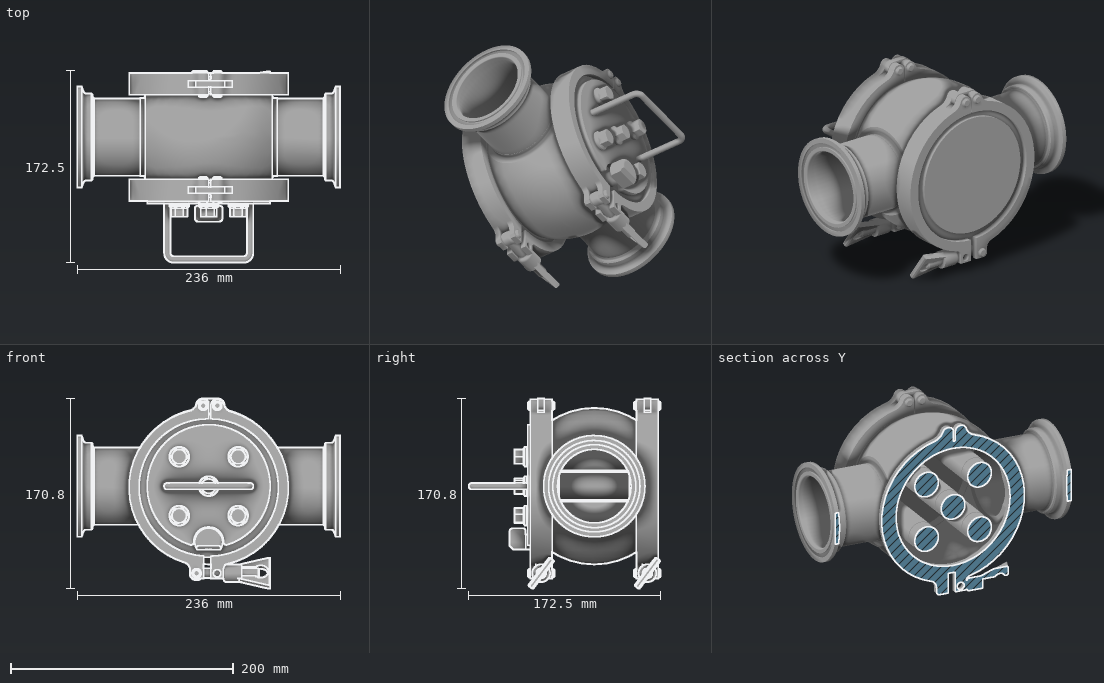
import cadquery as cq
import math

length = 236.0
sphere_radius = 70.3
wall = 2.0
body_half_width = 57.0
neck_fillet = 2.0

pipe_diameter = 69.6
neck_diameter = 70.0
neck_length = 4.5
pipe_bore = 66.0
rim_radius = 45.5
rim_thickness = 4.0
rim_slope_end = 6.4
collar_radius = 39.2
collar_end = 14.0
collar_edge = 1.2
collar_fillet = 2.1
groove_inner_radius = 37.3
groove_outer_radius = 41.0
groove_depth = 1.5
bore_rounding = 1.2

clamp_center = 47.7
clamp_thickness = 19.8
clamp_outer_radius = 70.5
clamp_bore_radius = 61.5
jaw_shift = 1.0
jaw_drop = 1.2
opening_radius = 56.6
cover_joint_radius = 64.0
ferrule_foot_radius = 60.2
plate_radius = 55.2
plate_height = 2.1
cover_slope = 2.1
plate_step = 5.7
ferrule_inset = 1.0
clamp_outer_face = clamp_center + clamp_thickness / 2
clamp_inner_face = clamp_center - clamp_thickness / 2
root = clamp_center + 2.4
plate_face = clamp_outer_face + plate_height
shoulder = plate_face - plate_step

hinge_x = 1.5
hinge_z = 72.2
hinge_pitch = 12.7
knuckle_radius = 6.0
knuckle_fillet = 11.8
link_radius = 6.5
link_thickness = 6.0
link_slot_width = 39.2
jaw_gap_top_left = 0.2
jaw_gap_top_right = 2.0
pin_head_diameter = 8.3
pin_chamfer = 1.5
pin_length = 24.0

closure_z = -78.0
closure_pin_x = -10.9
ear_hole_x = 7.5
ear_bottom = -83.0
ear_left = -16.8
ear_right = 13.2
ear_chamfer = 2.4
ear_left_fillet = 7.0
ear_right_fillet = 4.7
jaw_gap_left = -4.5
jaw_gap_right = 2.0
ear_slot_width = 9.7
ear_slot_length = 47.2
ear_hole_diameter = 6.5
eye_diameter = 12.7
eye_rounding = 2.4
bolt_diameter = 9.0
bolt_end = 45.5
bolt_chamfer = 1.2

nut_diameter = 16.0
nut_end = 29.7
nut_rounding = 2.8
wing_start = 21.2
wing_end = 55.5
wing_start_width = 12.3
wing_end_width = 31.9
wing_thickness = 5.5
wing_tilt = 37.0
wing_hole_diameter = 13.7
wing_hole_x = 46.7
wing_slot_width = 10.0
wing_end_chamfer = 1.2

rod_pitch = 52.9
rod_diameter = 25.0
rod_end_diameter = 24.0
rod_half_length = 31.5
rod_tip = 35.5
hex_flats = 13.0
hex_corners = hex_flats / math.cos(math.pi / 6)
hex_chamfer = 0.6
seal_diameter = 17.0
seal_thickness = 1.0
washer_diameter = 18.0
washer_thickness = 1.7
washer_taper = 1.7
bolt_head_height = 12.0

handle_diameter = 6.0
handle_span = 74.3
handle_bend = 6.0
handle_reach = 112.8

knob_diameter = 25.0
knob_z = -50.0
knob_flat_z = -56.9
knob_back = 61.5
knob_front = 76.2
knob_back_rounding = 2.5
knob_front_rounding = 3.5
knob_chamfer = 3.5
knob_neck_diameter = 13.7
notch_diameter = 27.0
notch_rounding = 2.4


def cylinder_y(x, z, diameter, y_start, y_end):
    """Cylinder along Y between two Y positions."""
    disc = cq.Workplane("XZ", origin=(x, y_start, z)).circle(diameter / 2)
    return disc.extrude(y_start - y_end)


def cylinder_x(y, z, diameter, x_start, x_end):
    """Cylinder along X between two X positions."""
    disc = cq.Workplane("YZ", origin=(x_start, y, z)).circle(diameter / 2)
    return disc.extrude(x_end - x_start)


def block(x_range, y_range, z_range):
    """Box given by its limits along each axis."""
    corner = (x_range[0], y_range[0], z_range[0])
    sizes = [high - low for low, high in (x_range, y_range, z_range)]
    return cq.Workplane("XY").box(*sizes, centered=False).translate(corner)


def turned_about_y(points):
    """Solid of revolution about Y from (radius, y) points."""
    return cq.Workplane("XY").polyline(points).close().revolve(360, (0, 0, 0), (0, 1, 0))


def both_ends(shape, plane):
    """Shape together with its mirror image."""
    return shape.union(shape.mirror(plane))


def make_pipe():
    """Solid pipe stub with its end ferrule on the -X side."""
    end = -length / 2
    pipe_radius = pipe_diameter / 2
    neck_start = length / 2 - body_half_width - neck_length
    outline = [
        (0, 0),
        (0, rim_radius),
        (rim_thickness, rim_radius),
        (rim_slope_end, collar_radius),
        (collar_end - collar_edge, collar_radius),
        (collar_end, collar_radius - collar_edge),
        (collar_end, pipe_radius + collar_edge),
        (collar_end + collar_edge, pipe_radius),
        (neck_start, pipe_radius),
        (neck_start, neck_diameter / 2),
        (length / 2, neck_diameter / 2),
        (length / 2, 0),
    ]
    points = [(end + x, radius) for x, radius in outline]
    pipe = cq.Workplane("XY").polyline(points).close().revolve(360, (0, 0, 0), (1, 0, 0))
    slope_foot = cq.selectors.NearestToPointSelector((end + rim_slope_end, 0, 0))
    pipe = pipe.edges("%CIRCLE").edges(slope_foot).fillet(collar_fillet)
    groove = cylinder_x(0, 0, 2 * groove_outer_radius, end, end + groove_depth)
    groove = groove.cut(cylinder_x(0, 0, 2 * groove_inner_radius, end, end + groove_depth))
    return pipe.cut(groove)


def make_body():
    """Hollow sphere with pipe stubs along X and ferruled openings along Y."""
    shell = cq.Workplane("XY").sphere(sphere_radius)
    flats = block((-body_half_width, body_half_width), (-clamp_center, clamp_center),
                  (-sphere_radius, sphere_radius))
    body = shell.intersect(flats).union(both_ends(make_pipe(), "YZ"))
    for side in (-1, 1):
        x = side * body_half_width
        flat = body.faces(cq.selectors.NearestToPointSelector((x, 0, neck_diameter / 2 + wall)))
        body = flat.edges(cq.selectors.RadiusNthSelector(0)).fillet(neck_fillet)

    foot = clamp_inner_face + ferrule_inset
    ferrule = turned_about_y([
        (opening_radius, -clamp_center),
        (cover_joint_radius, -clamp_center),
        (cover_joint_radius, -foot - cover_slope),
        (ferrule_foot_radius, -foot),
        (opening_radius, -foot),
    ])
    body = body.union(both_ends(ferrule, "XZ"))

    inside = cq.Workplane("XY").sphere(sphere_radius - wall)
    inner_half_width = body_half_width - wall
    inside = inside.intersect(block(
        (-inner_half_width, inner_half_width), (-clamp_inner_face, clamp_inner_face),
        (-sphere_radius, sphere_radius)))
    body = body.cut(inside)
    body = body.cut(cylinder_y(0, 0, 2 * opening_radius, -clamp_center, clamp_center))
    body = body.cut(cylinder_x(0, 0, pipe_bore, -length / 2, length / 2))
    for end in (-length / 2, length / 2):
        face = body.faces("<X" if end < 0 else ">X")
        body = face.edges(cq.selectors.RadiusNthSelector(0)).fillet(bore_rounding)
    return body


def make_cover_disc(side):
    """Round cover with a sloped rim on one side, up to the foot of its plate."""
    points = [
        (0, clamp_center),
        (cover_joint_radius, clamp_center),
        (cover_joint_radius, shoulder - cover_slope),
        (plate_radius, shoulder),
        (0, shoulder),
    ]
    return turned_about_y([(radius, side * y) for radius, y in points])


def make_front_cover():
    """Front cover, its proud plate notched around the knob."""
    notch_radius = notch_diameter / 2
    plate = cylinder_y(0, 0, 2 * plate_radius, -plate_face, -shoulder)
    plate = plate.cut(cylinder_y(0, knob_z, notch_diameter, -plate_face, -shoulder))
    corner_z = (plate_radius ** 2 - notch_radius ** 2 + knob_z ** 2) / (2 * knob_z)
    corner_x = math.sqrt(plate_radius ** 2 - corner_z ** 2)
    for x in (-corner_x, corner_x):
        corner = cq.selectors.NearestToPointSelector((x, -(plate_face + shoulder) / 2, corner_z))
        plate = plate.edges("|Y").edges(corner).fillet(notch_rounding)
    return make_cover_disc(-1).union(plate)


def make_back_cover():
    """Plain back cover, flush with the outer face of its clamp."""
    plate = cylinder_y(0, 0, 2 * plate_radius, shoulder, clamp_outer_face)
    return make_cover_disc(1).union(plate)


def make_pin(x, z):
    """Hinge pin with chamfered ends, centred on Y = 0."""
    pin = cylinder_y(x, z, pin_head_diameter, -pin_length / 2, pin_length / 2)
    return pin.faces("<Y or >Y").edges().chamfer(pin_chamfer)


def make_wing_nut():
    """Wing nut on the swing bolt with a tilted, slotted wing plate."""
    nut = cylinder_x(0, closure_z, nut_diameter, ear_right, nut_end)
    nut = nut.faces("<X").edges().fillet(nut_rounding)
    wing = cq.Workplane("XZ").polyline([
        (wing_start, -wing_start_width / 2),
        (wing_end, -wing_end_width / 2),
        (wing_end, wing_end_width / 2),
        (wing_start, wing_start_width / 2),
    ]).close().extrude(wing_thickness / 2, both=True)
    wing = wing.faces(">X").edges("|Z").chamfer(wing_end_chamfer)
    wing = wing.cut(cylinder_y(wing_hole_x, 0, wing_hole_diameter, -wing_thickness, wing_thickness))
    wing = wing.cut(block((nut_end, wing_hole_x), (-wing_thickness, wing_thickness),
                          (-wing_slot_width / 2, wing_slot_width / 2)))
    wing = wing.rotate((0, 0, 0), (1, 0, 0), -wing_tilt).translate((0, 0, closure_z))
    return nut.union(wing)


def make_jaws(radius):
    """Disc centred on Y = 0 and made of two half discs shifted apart along X."""
    half = clamp_thickness / 2
    left = cylinder_y(-jaw_shift, -jaw_drop, 2 * radius, -half, half)
    left = left.cut(block((0, 2 * radius), (-half, half), (-2 * radius, 2 * radius)))
    return both_ends(left, "YZ")


def make_clamp():
    """Two-jaw clamp centred on Y = 0 with hinge, swing bolt and wing nut."""
    half = clamp_thickness / 2
    hinge_xs = [hinge_x - hinge_pitch / 2, hinge_x + hinge_pitch / 2]
    jaws = make_jaws(clamp_outer_radius)
    clamp = jaws

    for x in hinge_xs:
        clamp = clamp.union(cylinder_y(x, hinge_z, 2 * knuckle_radius, -half, half))
    clamp = clamp.union(block(hinge_xs, (-half, half), (0, hinge_z)))
    ears = block((ear_left, ear_right), (-half, half), (ear_bottom, 0))
    clamp = clamp.union(ears.edges("|Y and <X and <Z").chamfer(ear_chamfer))
    for x, side, radius in (
        (hinge_xs[0] - knuckle_radius, 1, knuckle_fillet),
        (hinge_xs[1] + knuckle_radius, 1, knuckle_fillet),
        (ear_left, -1, ear_left_fillet),
        (ear_right, -1, ear_right_fillet),
    ):
        z = side * math.sqrt(clamp_outer_radius ** 2 - x ** 2) - jaw_drop
        corner = cq.selectors.NearestToPointSelector((x, 0, z))
        clamp = clamp.edges("|Y").edges(corner).fillet(radius)

    clamp = clamp.cut(make_jaws(clamp_bore_radius))
    clamp = clamp.cut(block((jaw_gap_top_left, jaw_gap_top_right), (-half, half),
                            (0, hinge_z + link_radius)))
    clamp = clamp.cut(block((jaw_gap_left, jaw_gap_right), (-half, half), (ear_bottom, 0)))
    link_slot = block((hinge_x - link_slot_width / 2, hinge_x + link_slot_width / 2),
                      (-link_thickness / 2, link_thickness / 2),
                      (hinge_z - link_radius, hinge_z + link_radius))
    clamp = clamp.cut(link_slot.cut(jaws))
    ear_slot = block((-ear_slot_length / 2, ear_slot_length / 2),
                     (-ear_slot_width / 2, ear_slot_width / 2),
                     (ear_bottom, -clamp_bore_radius))
    clamp = clamp.cut(ear_slot.cut(jaws))
    clamp = clamp.cut(cylinder_y(ear_hole_x, closure_z, ear_hole_diameter, -half, half))

    link = cq.Workplane("XZ", origin=(hinge_x, 0, hinge_z)).slot2D(
        hinge_pitch + 2 * link_radius, 2 * link_radius)
    clamp = clamp.union(link.extrude(link_thickness / 2, both=True))
    for x, z in [(x, hinge_z) for x in hinge_xs] + [(closure_pin_x, closure_z)]:
        clamp = clamp.union(make_pin(x, z))

    eye = cylinder_y(closure_pin_x, closure_z, eye_diameter, -ear_slot_width / 2, ear_slot_width / 2)
    eye = eye.edges().fillet(eye_rounding)
    bolt = cylinder_x(0, closure_z, bolt_diameter, closure_pin_x, bolt_end)
    bolt = bolt.faces(">X").chamfer(bolt_chamfer)
    return clamp.union(eye).union(bolt).union(make_wing_nut())


def make_rod(x, z, hex_angle):
    """Magnet rod with the flanged hexagon bolt that fixes it to the front cover."""
    rod = cylinder_y(x, z, rod_end_diameter, -root, rod_tip)
    rod = rod.union(cylinder_y(x, z, rod_diameter, -rod_half_length, rod_half_length))
    seal = cylinder_y(0, 0, seal_diameter, 0, -seal_thickness)
    washer = cylinder_y(0, 0, washer_diameter, -seal_thickness, -seal_thickness - washer_thickness)
    washer_face = washer.faces("<Y").workplane().circle(washer_diameter / 2)
    washer = washer_face.workplane(offset=washer_taper).circle(hex_flats / 2).loft()
    head = cq.Workplane("XZ").polygon(6, hex_corners).extrude(bolt_head_height)
    crown = cylinder_y(0, 0, hex_corners, 0, -bolt_head_height)
    head = head.intersect(crown.faces("<Y").chamfer(hex_chamfer, (hex_corners - hex_flats) / 2))
    head = head.rotate((0, 0, 0), (0, 1, 0), -hex_angle)
    return rod.union(seal.union(washer).union(head).translate((x, -plate_face, z)))


def make_handle():
    """U-shaped round bar standing on the front cover."""
    leg = handle_span / 2
    crossbar = handle_reach - handle_diameter / 2
    path = (
        cq.Workplane("XY")
        .moveTo(-leg, -root)
        .lineTo(-leg, handle_bend - crossbar)
        .radiusArc((handle_bend - leg, -crossbar), -handle_bend)
        .lineTo(leg - handle_bend, -crossbar)
        .radiusArc((leg, handle_bend - crossbar), -handle_bend)
        .lineTo(leg, -root)
    )
    section = cq.Workplane("XZ", origin=(-leg, -root, 0)).circle(handle_diameter / 2)
    return section.sweep(path)


def make_knob():
    """Knob with a flat underside on a short neck."""
    knob = cylinder_y(0, knob_z, knob_diameter, -knob_front, -knob_back)
    knob = knob.faces(">Y").edges().fillet(knob_back_rounding)
    knob = knob.faces("<Y").edges().fillet(knob_front_rounding)
    below = block((-knob_diameter, knob_diameter), (-knob_front, -knob_back),
                  (knob_flat_z - knob_diameter, knob_flat_z))
    knob = knob.cut(below)
    bevel = cq.Workplane("YZ").polyline([
        (-knob_front, knob_flat_z),
        (-knob_front + knob_chamfer, knob_flat_z),
        (-knob_front, knob_flat_z + knob_chamfer),
    ]).close().extrude(knob_diameter, both=True)
    neck = cylinder_y(0, knob_z, knob_neck_diameter, -knob_back - knob_back_rounding, -root)
    return knob.cut(bevel).union(neck)


result = make_body()
result = result.union(make_front_cover()).union(make_back_cover())
clamp = make_clamp()
for side in (-1, 1):
    result = result.union(clamp.translate((0, side * clamp_center, 0)))
half_pitch = rod_pitch / 2
for x, z, hex_angle in (
    (-half_pitch, half_pitch, 0),
    (half_pitch, half_pitch, 0),
    (0, 0, -13),
    (-half_pitch, -half_pitch, 10),
    (half_pitch, -half_pitch, 10),
):
    result = result.union(make_rod(x, z, hex_angle))
result = result.union(make_handle()).union(make_knob())